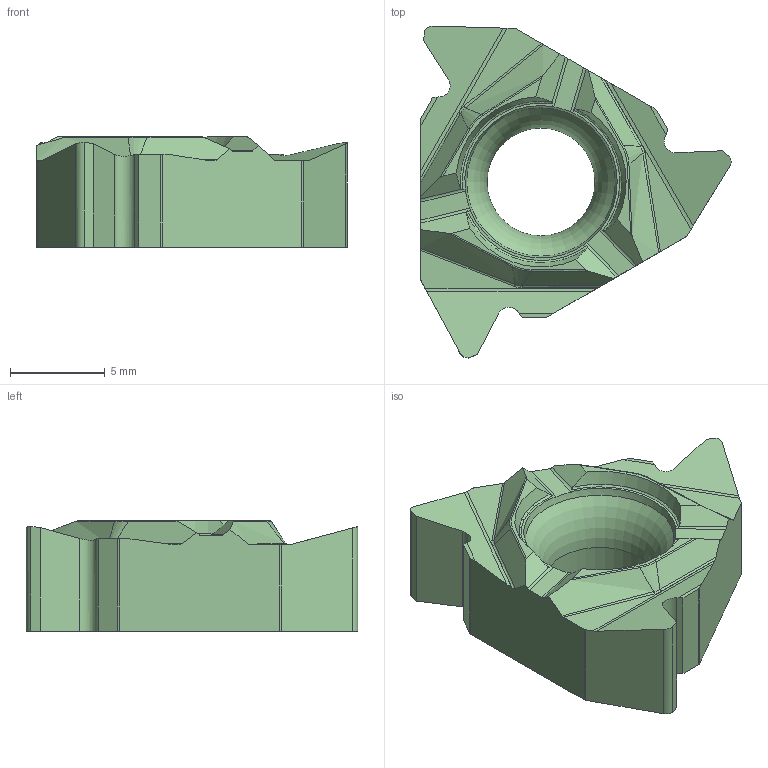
import cadquery as cq
import math

TEETH = 3
INDEX_ANGLE = 360 / TEETH
HEIGHT = 5.84

FLAT_DISTANCE = 6.35
FLAT_END_Y = 3.37
CORNER_RADIUS = 0.2
LEFT_FLANK_ANGLE = math.radians(28.3)
RIGHT_FLANK_ANGLE = math.radians(27.5)
TIP_X, TIP_Y = -3.85, -8.805
TIP_RADIUS = 0.5
TIP_FACET_END = (-3.37, -9.12)
ROOT_RADIUS = 0.6
ROOT_TOP_Y = -6.62
CREST_START_X = -0.97
ROOT_EXIT_ANGLE = math.radians(30)

FLOOR_Z = 4.57
RAKE_ANGLE = math.radians(15)
RAKE_START_Y = -5.71
RAKE_BLEND_RADIUS = 0.7
LAND_Z = 4.91
LAND_START_X = -1.4

FOOT_BEND = (-1.2, -5.53)
RIM_BEND = (-1.05, -4.70)
FOOT_BEND_RADIUS = 1.0
RIM_BEND_RADIUS = 2.2
FOOT_FILLET = 0.15
RIM_FILLET = 0.1
FOOT_LEAD_ANGLE = math.radians(20.9)
RIM_LEAD_ANGLE = math.radians(27.5)
CUT_LEFT_X = -7.5
CUT_RIGHT_X = 9.0
CUT_FRONT_Y = -11.0

SLOT_ANGLE = 193.7
SLOT_FLOOR_Z = 5.05
SLOT_FLOOR_WIDTH = 1.1
SLOT_TOP_WIDTH = 3.04
SLOT_FILLET = 0.25
SLOT_LENGTH = 9.0

HOLE_RADIUS = 5.7 / 2
SEAT_RADIUS = 3.7
SEAT_RIM_RADIUS = 3.93
SEAT_RIM_Z = 4.7
LEDGE_Z = 5.08
LEDGE_INNER_RADIUS = 4.03
MOUTH_BOTTOM_RADIUS = 4.25
MOUTH_TOP_RADIUS = 4.5
LEDGE_FILLET = 0.12
TOLERANCE = 1e-6


def turned(point, index):
    """Point rotated about the Z axis by the given number of teeth."""
    angle = math.radians(INDEX_ANGLE * index)
    x, y = point
    return (
        x * math.cos(angle) - y * math.sin(angle),
        x * math.sin(angle) + y * math.cos(angle),
    )


def around(center, radius, angle):
    """Point on a circle, with the angle in radians from +X."""
    return (center[0] + radius * math.cos(angle), center[1] + radius * math.sin(angle))


def tooth_points():
    """Outline points of one tooth, from its long side to the next one."""
    tip = (TIP_X, TIP_Y)
    left_angle = math.pi + LEFT_FLANK_ANGLE
    bottom_angle = 3 * math.pi / 2
    tip_left = around(tip, TIP_RADIUS, left_angle)
    tip_middle = around(tip, TIP_RADIUS, (left_angle + bottom_angle) / 2)
    shoulder_y = tip_left[1] + (tip_left[0] + FLAT_DISTANCE) / math.tan(LEFT_FLANK_ANGLE)
    root_y = ROOT_TOP_Y - ROOT_RADIUS
    touch_y = root_y + ROOT_RADIUS * math.sin(RIGHT_FLANK_ANGLE)
    touch_x = TIP_FACET_END[0] + (touch_y - TIP_FACET_END[1]) * math.tan(RIGHT_FLANK_ANGLE)
    root_x = touch_x + ROOT_RADIUS * math.cos(RIGHT_FLANK_ANGLE)
    root = (root_x, root_y)
    crest_end = turned((-FLAT_DISTANCE, FLAT_END_Y), 1)
    return {
        "shoulder": (-FLAT_DISTANCE, shoulder_y),
        "tip_left": tip_left,
        "tip_middle": tip_middle,
        "tip_bottom": (TIP_X, TIP_Y - TIP_RADIUS),
        "facet_end": TIP_FACET_END,
        "root_left": (touch_x, touch_y),
        "root_top": (root_x, ROOT_TOP_Y),
        "root_right": around(root, ROOT_RADIUS, ROOT_EXIT_ANGLE),
        "crest_start": (CREST_START_X, crest_end[1]),
        "crest_end": crest_end,
    }


def blank():
    """Full-height prism with the three-tooth outline."""
    points = tooth_points()
    outline = cq.Workplane("XY").moveTo(-FLAT_DISTANCE, FLAT_END_Y)
    for index in range(TEETH):
        at = {name: turned(point, index) for name, point in points.items()}
        outline = outline.lineTo(*at["shoulder"]).lineTo(*at["tip_left"])
        outline = outline.threePointArc(at["tip_middle"], at["tip_bottom"])
        outline = outline.lineTo(*at["facet_end"]).lineTo(*at["root_left"])
        outline = outline.threePointArc(at["root_top"], at["root_right"])
        outline = outline.lineTo(*at["crest_start"])
        if index < TEETH - 1:
            outline = outline.lineTo(*at["crest_end"])
    body = outline.close().extrude(HEIGHT)
    for index in range(TEETH):
        for name in ("shoulder", "crest_end"):
            x, y = turned(points[name], index)
            corner = cq.selectors.NearestToPointSelector((x, y, HEIGHT / 2))
            body = body.edges("|Z").edges(corner).fillet(CORNER_RADIUS)
    return body


def breaker_section(z, bend, lead_angle, bend_radius):
    """Horizontal outline of the space in front of the chip breaker wall, with a rounded bend."""
    bend_x, bend_y = bend
    lead_y = bend_y + (bend_x - CUT_LEFT_X) * math.tan(lead_angle)
    setback = bend_radius * math.tan(lead_angle / 2)
    arc_center = (bend_x + setback, bend_y + bend_radius)
    outline = (
        cq.Workplane("XY", origin=(0, 0, z))
        .moveTo(CUT_LEFT_X, lead_y)
        .lineTo(*around(arc_center, bend_radius, -math.pi / 2 - lead_angle))
        .threePointArc(
            around(arc_center, bend_radius, -math.pi / 2 - lead_angle / 2),
            around(arc_center, bend_radius, -math.pi / 2),
        )
        .lineTo(CUT_RIGHT_X, bend_y)
        .lineTo(CUT_RIGHT_X, CUT_FRONT_Y)
        .lineTo(CUT_LEFT_X, CUT_FRONT_Y)
        .close()
    )
    return outline.wire().val()


def breaker_cutter():
    """Space above the floor and rake face, in front of the chip breaker wall."""
    foot = breaker_section(FLOOR_Z, FOOT_BEND, FOOT_LEAD_ANGLE, FOOT_BEND_RADIUS)
    rim = breaker_section(HEIGHT, RIM_BEND, RIM_LEAD_ANGLE, RIM_BEND_RADIUS)
    space = cq.Workplane(cq.Solid.makeLoft([foot, rim], True))
    foot_edge = cq.selectors.NearestToPointSelector((CUT_RIGHT_X / 2, FOOT_BEND[1], FLOOR_Z))
    space = space.edges(foot_edge).fillet(FOOT_FILLET)
    rake_end_z = FLOOR_Z + (RAKE_START_Y - CUT_FRONT_Y) * math.tan(RAKE_ANGLE)
    rake_side = (
        cq.Workplane("YZ", origin=(CUT_LEFT_X, 0, 0))
        .moveTo(0, 0)
        .lineTo(0, FLOOR_Z)
        .lineTo(RAKE_START_Y, FLOOR_Z)
        .lineTo(CUT_FRONT_Y, rake_end_z)
        .lineTo(CUT_FRONT_Y, 0)
        .close()
        .extrude(CUT_RIGHT_X - CUT_LEFT_X)
    )
    rake_bend = cq.selectors.NearestToPointSelector((0, RAKE_START_Y, FLOOR_Z))
    rake_side = rake_side.edges("|X").edges(rake_bend).fillet(RAKE_BLEND_RADIUS)
    return space.cut(rake_side)


def land_cutter():
    """Space above the flat land along the crest."""
    land_y = RAKE_START_Y - (LAND_Z - FLOOR_Z) / math.tan(RAKE_ANGLE)
    size = (CUT_RIGHT_X - LAND_START_X, land_y - CUT_FRONT_Y, HEIGHT - LAND_Z)
    corner = (LAND_START_X, CUT_FRONT_Y, LAND_Z)
    return cq.Workplane("XY").box(*size, centered=False).translate(corner)


def slot_cutter():
    """Radial slot with sloping walls, open to the central hole."""
    half_floor = SLOT_FLOOR_WIDTH / 2
    half_top = SLOT_TOP_WIDTH / 2
    slot = (
        cq.Workplane("YZ")
        .moveTo(-half_floor, SLOT_FLOOR_Z)
        .lineTo(half_floor, SLOT_FLOOR_Z)
        .lineTo(half_top, HEIGHT)
        .lineTo(-half_top, HEIGHT)
        .close()
        .extrude(SLOT_LENGTH)
    )
    slot = slot.faces("<Z").edges("|X").fillet(SLOT_FILLET)
    return slot.rotate((0, 0, 0), (0, 0, 1), SLOT_ANGLE)


def is_ledge_corner(edge):
    """Whether a circular edge lies where the mouth meets the ledge."""
    return math.isclose(edge.radius(), MOUTH_BOTTOM_RADIUS, abs_tol=TOLERANCE)


def hole_cutter():
    """Revolved hole: cylinder, curved seat, sloping lip, narrow ledge and conical mouth."""
    seat_sweep = math.acos(1 - (SEAT_RIM_RADIUS - HOLE_RADIUS) / SEAT_RADIUS)
    seat_center = (HOLE_RADIUS + SEAT_RADIUS, SEAT_RIM_Z - SEAT_RADIUS * math.sin(seat_sweep))
    hole = (
        cq.Workplane("XZ")
        .lineTo(HOLE_RADIUS, 0)
        .lineTo(HOLE_RADIUS, seat_center[1])
        .threePointArc(
            around(seat_center, SEAT_RADIUS, math.pi - seat_sweep / 2),
            around(seat_center, SEAT_RADIUS, math.pi - seat_sweep),
        )
        .lineTo(LEDGE_INNER_RADIUS, LEDGE_Z)
        .lineTo(MOUTH_BOTTOM_RADIUS, LEDGE_Z)
        .lineTo(MOUTH_TOP_RADIUS, HEIGHT)
        .lineTo(0, HEIGHT)
        .close()
        .revolve()
    )
    ledge_corners = hole.edges("%CIRCLE").filter(is_ledge_corner)
    return ledge_corners.fillet(LEDGE_FILLET)


def cut_at_each_tooth(body, cutter):
    """Body with the cutter removed at every tooth."""
    for index in range(TEETH):
        body = body.cut(cutter.rotate((0, 0, 0), (0, 0, 1), INDEX_ANGLE * index))
    return body


def round_rims(body):
    """Body with the upper edges of the chip breaker walls rounded."""
    for index in range(TEETH):
        x, y = turned((-RIM_BEND[0], RIM_BEND[1]), index)
        rim_edge = cq.selectors.NearestToPointSelector((x, y, HEIGHT))
        body = body.edges(rim_edge).fillet(RIM_FILLET)
    return body


body = cut_at_each_tooth(blank(), breaker_cutter())
body = round_rims(body)
body = cut_at_each_tooth(body, land_cutter())
body = cut_at_each_tooth(body, slot_cutter())
result = body.cut(hole_cutter())